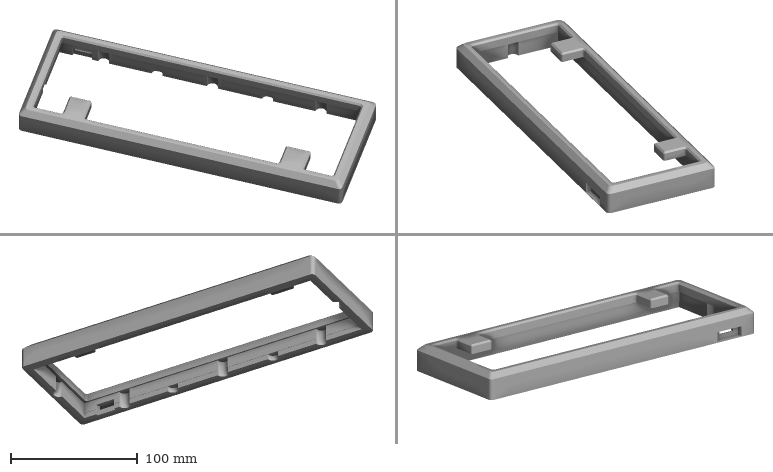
import cadquery as cq
import math

length = 267.2
width = 95.7
height = 21.6
corner_radius = 3.0
outer_chamfer = 4.3

long_rim = 9.4
end_rim = 9.5
window_radius = 1.5
edge_chamfer = 1.3
plate_bottom = 14.0

tab_spans = [(-99.7, -81.5), (79.0, 99.7)]
tab_tip_y = -19.0

end_wall = 7.2
long_wall = 8.0
base_step = 0.3
base_step_height = 4.5

scallop_diameter = 9.0
tall_scallop_pitch = 89.8
short_scallop_offset = 45.7

port_x = -107.5
port_width = 14.0
port_top = 8.8
recess_width = 16.0
recess_depth = 2.1
relief_width = 24.0
relief_depth = 4.3
relief_floor = 0.5

window_length = length - 2 * end_rim
window_width = width - 2 * long_rim
cavity_length = length - 2 * end_wall
cavity_width = width - 2 * long_wall
cavity_back_y = cavity_width / 2
cavity_right_x = cavity_length / 2


def block(x_min, x_max, y_min, y_max, z_min, z_max):
    """Axis-aligned box given by its limits."""
    size = (x_max - x_min, y_max - y_min, z_max - z_min)
    return cq.Workplane("XY").box(*size, centered=False).translate((x_min, y_min, z_min))


def centred_block(size_x, size_y, z_max):
    """Box standing on the base plane, centred on the Z axis."""
    return cq.Workplane("XY").box(size_x, size_y, z_max, centered=(True, True, False))


def corner_trim():
    """Material removed to round the +X +Y corner: straight up, then leaning in along the sloped border."""
    corner = (length / 2, width / 2)
    shoulder = height - outer_chamfer
    arc_inset = corner_radius * (1 - math.sqrt(0.5))
    outline = (
        cq.Workplane("XY")
        .moveTo(*corner)
        .lineTo(corner[0] - corner_radius, corner[1])
        .threePointArc(
            (corner[0] - arc_inset, corner[1] - arc_inset),
            (corner[0], corner[1] - corner_radius),
        )
        .close()
        .val()
    )
    base = cq.Face.makeFromWires(outline)
    upright = cq.Solid.extrudeLinear(base, cq.Vector(0, 0, shoulder))
    shoulder_face = base.translate(cq.Vector(0, 0, shoulder))
    lean = cq.Vector(-outer_chamfer, -outer_chamfer, outer_chamfer)
    leaning = cq.Solid.extrudeLinear(shoulder_face, lean)
    return cq.Workplane(upright).union(cq.Workplane(leaning))


def outer_body():
    """Block with a sloped top border and rounded corners of constant radius."""
    body = centred_block(length, width, height).faces(">Z").edges().chamfer(outer_chamfer)
    trim = corner_trim()
    trims = trim.union(trim.mirror("YZ"))
    return body.cut(trims).cut(trims.mirror("XZ"))


def window():
    """Opening of the top plate, notched around the tabs."""
    front_y = -window_width / 2
    opening = centred_block(window_length, window_width, height)
    for left, right in tab_spans:
        opening = opening.cut(block(left, right, front_y, tab_tip_y, 0, height))
    return opening.edges("|Z").fillet(window_radius)


def cavity():
    """Room below the top plate, slightly wider near the base."""
    upper = centred_block(cavity_length, cavity_width, plate_bottom)
    lower = centred_block(cavity_length, cavity_width + 2 * base_step, base_step_height)
    return upper.union(lower)


def scallop(x, y, depth):
    return cq.Workplane("XY").center(x, y).circle(scallop_diameter / 2).extrude(depth)


def scallops():
    """Tall scallops in the back and end walls, with short ones between them along the back."""
    cutters = scallop(cavity_right_x, 0, plate_bottom).union(scallop(-cavity_right_x, 0, plate_bottom))
    for x in (-tall_scallop_pitch, 0, tall_scallop_pitch):
        cutters = cutters.union(scallop(x, cavity_back_y, plate_bottom))
    for x in (-short_scallop_offset, short_scallop_offset):
        cutters = cutters.union(scallop(x, cavity_back_y, base_step_height))
    return cutters


def port_block(size_x, y_min, y_max, z_min):
    """Box of the given width centred on the cable port, reaching up to the port's top."""
    return block(port_x - size_x / 2, port_x + size_x / 2, y_min, y_max, z_min, port_top)


def cable_port():
    """Opening through the back wall, between an inner recess and an outer relief."""
    back_y = width / 2
    recess = port_block(recess_width, 0, cavity_back_y + recess_depth, 0)
    opening = port_block(port_width, 0, back_y, base_step_height)
    relief = port_block(relief_width, back_y - relief_depth, back_y, relief_floor)
    return recess.union(opening).union(relief)


body = outer_body().cut(window())
window_rim = cq.selectors.BoxSelector(
    (-window_length / 2 - edge_chamfer, -window_width / 2 - edge_chamfer, height - edge_chamfer),
    (window_length / 2 + edge_chamfer, window_width / 2 + edge_chamfer, height + edge_chamfer),
)
body = body.edges(window_rim).chamfer(edge_chamfer)
result = body.cut(cavity()).cut(scallops()).cut(cable_port())